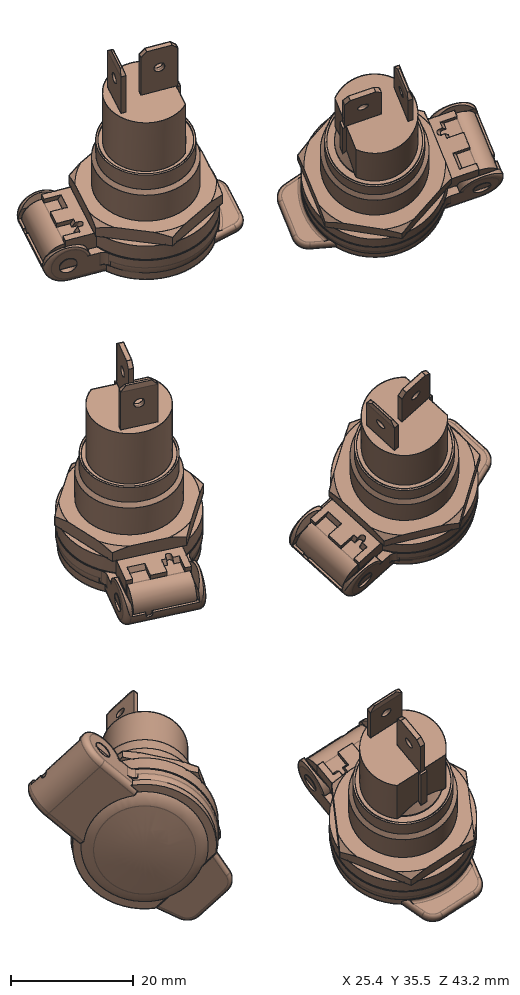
import cadquery as cq
import math


COLLAR_RADIUS = 8.85
COLLAR_TOP = 8.6
RING_RADIUS = 8.15
RING_CONE_TOP = 9.25
RING_TOP = 12.55
RING_BORE_RADIUS = 7.8
RING_BORE_DEPTH = 0.25
BARREL_RADIUS = 7.05
BARREL_TOP = 23.6

FLAT_Y = 5.1
RIB_WIDTH = 1.26
RIB_Y = 5.8
FOOT_RADIUS = 6.55

NUT_CORNER_DIAMETER = 25.4
NUT_HEIGHT = 2.6
NUT_CHAMFER_RADIUS = 11.5
NUT_CHAMFER_ANGLE = math.radians(30)

TERMINAL_WIDTH = 6.4
TERMINAL_THICKNESS = 0.88
TERMINAL_CORNER = 1.0
TERMINAL_HOLE_DIAMETER = 1.86
TERMINAL_EMBED = 1.0
CENTER_TERMINAL_Y = 2.2
CENTER_TERMINAL_TOP = 33.35
CENTER_HOLE_DROP = 4.4
FRONT_TERMINAL_Y = -5.03
FRONT_TERMINAL_TOP = 33.05
FRONT_HOLE_DROP = 4.3
FRONT_BEVEL_DEPTH = 0.25

FLANGE_RADIUS = 12.0
FLANGE_BOTTOM = -3.35
PARTING_GROOVE_HEIGHT = 0.1
PARTING_GROOVE_DEPTH = 0.15
CAP_SHOULDER_Z = -5.05
CAP_SKIRT_RADIUS = 11.72
CAP_SKIRT_TOP = -6.5
CAP_SHOULDER_BULGE = 0.075
DOME_EDGE_BULGE = 0.15
CAP_SKIRT_BOTTOM = -8.05
DOME_OUTER_RADIUS = 10.35
DOME_RADIUS = 8.3
DOME_EDGE_Z = -9.15
DOME_BOTTOM = -9.85
PLATE_BOTTOM = -8.43

TAB_TOP = -6.68
TAB_ROOT_Y = 9.2
TAB_ROOT_HALF_WIDTH = 7.15
TAB_TIP_Y = 15.5
TAB_TIP_HALF_WIDTH = 5.4
TAB_CORNER_RADIUS = 2.8
TAB_EDGE_RADIUS = 0.7
TAB_BLEND_RADIUS = 0.5
TAB_BLEND_HALF_WIDTH = 6.0

HINGE_Y = -16.0
HINGE_RADIUS = 4.0
HINGE_Z = PLATE_BOTTOM + HINGE_RADIUS
ARM_HALF_WIDTH = 7.05
ARM_EDGE_RADIUS = 1.05
ARM_EDGE_OVERSIZE = 0.25
ARM_BLEND_RADIUS = 1.6
ARM_BLEND_BOTTOM = -6.2
ARM_BLEND_START_Y = -9.0
ARM_ROOT_Y = -8.0
EAR_INNER_X = 5.7
EAR_BEVEL_WIDTH = 0.8
EAR_BEVEL_HEIGHT = 1.9
PIN_RADIUS = 1.53
PIN_RECESS = 0.1
PIN_CHAMFER_DROP = 0.5
PIN_CHAMFER_DEPTH = 0.9
BRACKET_HALF_WIDTH = 5.62
KNUCKLE_HALF_WIDTH = 5.4
KNUCKLE_RADIUS = 3.55
NOTCH_X = -2.83
NOTCH_WIDTH = 1.15
NOTCH_DEPTH = 1.0

POCKET_INNER_X = 1.43
POCKET_OUTER_X = 4.45
POCKET_BACK_Y = -13.05
POCKET_RAMP = 0.6
SLOT_X = 2.8
SLOT_WIDTH = 1.06
SLOT_END_Y = -11.9


def box(x_range, y_range, z_range):
    """Box given by its limits along each axis."""
    sizes = [high - low for low, high in (x_range, y_range, z_range)]
    corner = (x_range[0], y_range[0], z_range[0])
    return cq.Workplane("XY").box(*sizes, centered=False).translate(corner)


def cross_cylinder(radius, half_width):
    """Cylinder along X on the hinge axis."""
    return (
        cq.Workplane("YZ", origin=(-half_width, HINGE_Y, HINGE_Z))
        .circle(radius)
        .extrude(2 * half_width)
    )


def turned_body():
    ring_floor = RING_TOP - RING_BORE_DEPTH
    return (
        cq.Workplane("XZ")
        .moveTo(0, FLANGE_BOTTOM)
        .lineTo(COLLAR_RADIUS, FLANGE_BOTTOM)
        .lineTo(COLLAR_RADIUS, COLLAR_TOP)
        .lineTo(RING_RADIUS, RING_CONE_TOP)
        .lineTo(RING_RADIUS, RING_TOP)
        .lineTo(RING_BORE_RADIUS, RING_TOP)
        .lineTo(RING_BORE_RADIUS, ring_floor)
        .lineTo(0, ring_floor)
        .close()
        .revolve(360, (0, 0), (0, 1))
    )


def barrel():
    """Upper barrel with a flat, a key rib on the flat and a conical foot."""
    base = RING_TOP - RING_BORE_DEPTH
    height = BARREL_TOP - base
    body = cq.Workplane("XY").workplane(offset=base).circle(BARREL_RADIUS).extrude(height)
    body = body.cut(box((-BARREL_RADIUS, BARREL_RADIUS), (FLAT_Y, BARREL_RADIUS), (base, BARREL_TOP)))
    rib = box((-RIB_WIDTH / 2, RIB_WIDTH / 2), (0, RIB_Y), (base, BARREL_TOP))
    foot = (
        cq.Workplane("XZ")
        .moveTo(0, base)
        .lineTo(FOOT_RADIUS, base)
        .lineTo(FOOT_RADIUS, RING_TOP)
        .lineTo(0, RING_TOP + FOOT_RADIUS)
        .close()
        .revolve(360, (0, 0), (0, 1))
    )
    return body.union(rib).union(foot)


def nut():
    """Hexagon with its upper corners turned off at 30 degrees."""
    corner_radius = NUT_CORNER_DIAMETER / 2
    chamfer_drop = (corner_radius - NUT_CHAMFER_RADIUS) * math.tan(NUT_CHAMFER_ANGLE)
    hexagon = cq.Workplane("XY").polygon(6, NUT_CORNER_DIAMETER).extrude(NUT_HEIGHT)
    turned = (
        cq.Workplane("XZ")
        .lineTo(corner_radius, 0)
        .lineTo(corner_radius, NUT_HEIGHT - chamfer_drop)
        .lineTo(NUT_CHAMFER_RADIUS, NUT_HEIGHT)
        .lineTo(0, NUT_HEIGHT)
        .close()
        .revolve(360, (0, 0), (0, 1))
    )
    return hexagon.intersect(turned)


def terminal(plane, top, hole_drop):
    """Flat spade centred on the plane's origin, with cropped corners and a hole."""
    half_width = TERMINAL_WIDTH / 2
    shoulder = top - TERMINAL_CORNER
    bottom = BARREL_TOP - TERMINAL_EMBED
    blade = (
        cq.Workplane(plane)
        .moveTo(-half_width, bottom)
        .lineTo(half_width, bottom)
        .lineTo(half_width, shoulder)
        .lineTo(half_width - TERMINAL_CORNER, top)
        .lineTo(TERMINAL_CORNER - half_width, top)
        .lineTo(-half_width, shoulder)
        .close()
        .extrude(TERMINAL_THICKNESS / 2, both=True)
    )
    hole = (
        cq.Workplane(plane)
        .center(0, top - hole_drop)
        .circle(TERMINAL_HOLE_DIAMETER / 2)
        .extrude(TERMINAL_THICKNESS, both=True)
    )
    return blade.cut(hole)


def center_terminal():
    blade = terminal("YZ", CENTER_TERMINAL_TOP, CENTER_HOLE_DROP)
    return blade.translate((0, CENTER_TERMINAL_Y, 0))


def front_terminal():
    """Terminal across the front, bevelled on both faces towards its tip."""
    half_thickness = TERMINAL_THICKNESS / 2
    shoulder = FRONT_TERMINAL_TOP - TERMINAL_CORNER
    bevelled = (
        cq.Workplane("YZ")
        .moveTo(-half_thickness, 0)
        .lineTo(half_thickness, 0)
        .lineTo(half_thickness, shoulder)
        .lineTo(half_thickness - FRONT_BEVEL_DEPTH, FRONT_TERMINAL_TOP)
        .lineTo(FRONT_BEVEL_DEPTH - half_thickness, FRONT_TERMINAL_TOP)
        .lineTo(-half_thickness, shoulder)
        .close()
        .extrude(TERMINAL_WIDTH, both=True)
    )
    blade = terminal("XZ", FRONT_TERMINAL_TOP, FRONT_HOLE_DROP).intersect(bevelled)
    return blade.translate((0, FRONT_TERMINAL_Y, 0))


def flange():
    """Disc under the nut, with a fine parting groove above the cap."""
    groove_radius = FLANGE_RADIUS - PARTING_GROOVE_DEPTH
    groove_top = FLANGE_BOTTOM + PARTING_GROOVE_HEIGHT
    disc = cq.Workplane("XY").workplane(offset=groove_top).circle(FLANGE_RADIUS).extrude(-groove_top)
    neck = cq.Workplane("XY").workplane(offset=FLANGE_BOTTOM).circle(groove_radius).extrude(-FLANGE_BOTTOM)
    return disc.union(neck)


def cap_disc():
    """Turned cap: rounded shoulder, narrower skirt and shallow dome."""
    shoulder_radius = (FLANGE_RADIUS + CAP_SKIRT_RADIUS) / 2 + CAP_SHOULDER_BULGE
    shoulder_z = (CAP_SHOULDER_Z + CAP_SKIRT_TOP) / 2
    edge_radius = (DOME_OUTER_RADIUS + DOME_RADIUS) / 2 + DOME_EDGE_BULGE
    edge_z = (CAP_SKIRT_BOTTOM + DOME_EDGE_Z) / 2 - DOME_EDGE_BULGE
    sagitta = DOME_EDGE_Z - DOME_BOTTOM
    dome_sphere = (DOME_RADIUS**2 + sagitta**2) / (2 * sagitta)
    mid_radius = DOME_RADIUS / 2
    mid_z = DOME_BOTTOM + dome_sphere - math.sqrt(dome_sphere**2 - mid_radius**2)
    return (
        cq.Workplane("XZ")
        .moveTo(0, FLANGE_BOTTOM)
        .lineTo(FLANGE_RADIUS, FLANGE_BOTTOM)
        .lineTo(FLANGE_RADIUS, CAP_SHOULDER_Z)
        .threePointArc((shoulder_radius, shoulder_z), (CAP_SKIRT_RADIUS, CAP_SKIRT_TOP))
        .lineTo(CAP_SKIRT_RADIUS, CAP_SKIRT_BOTTOM)
        .lineTo(DOME_OUTER_RADIUS, CAP_SKIRT_BOTTOM)
        .threePointArc((edge_radius, edge_z), (DOME_RADIUS, DOME_EDGE_Z))
        .threePointArc((mid_radius, mid_z), (0, DOME_BOTTOM))
        .close()
        .revolve(360, (0, 0), (0, 1))
    )


def arm_blend():
    """Rounded inside corners between the cap and the sides of the arm."""
    height = FLANGE_BOTTOM - ARM_BLEND_BOTTOM
    arm_span = (-ARM_HALF_WIDTH, ARM_HALF_WIDTH)
    blend_end_y = HINGE_Y + HINGE_RADIUS
    disc = cq.Workplane("XY").workplane(offset=ARM_BLEND_BOTTOM).circle(FLANGE_RADIUS).extrude(height)
    arm = box(arm_span, (HINGE_Y, 0), (ARM_BLEND_BOTTOM, FLANGE_BOTTOM))
    corner_y = -math.sqrt(FLANGE_RADIUS**2 - ARM_HALF_WIDTH**2)
    reach = 0.1
    corners = cq.selectors.BoxSelector(
        (-ARM_HALF_WIDTH - reach, corner_y - reach, ARM_BLEND_BOTTOM),
        (ARM_HALF_WIDTH + reach, corner_y + reach, FLANGE_BOTTOM),
    )
    blended = disc.union(arm).edges("|Z").edges(corners).fillet(ARM_BLEND_RADIUS)
    kept_half_width = math.sqrt(FLANGE_RADIUS**2 - ARM_BLEND_START_Y**2)
    kept = box(
        (-kept_half_width, kept_half_width),
        (blend_end_y, ARM_BLEND_START_Y),
        (ARM_BLEND_BOTTOM, FLANGE_BOTTOM),
    )
    return blended.intersect(kept)


def finger_tab():
    outline = (
        cq.Workplane("XY")
        .workplane(offset=PLATE_BOTTOM)
        .moveTo(-TAB_ROOT_HALF_WIDTH, TAB_ROOT_Y)
        .lineTo(TAB_ROOT_HALF_WIDTH, TAB_ROOT_Y)
        .lineTo(TAB_TIP_HALF_WIDTH, TAB_TIP_Y)
        .lineTo(-TAB_TIP_HALF_WIDTH, TAB_TIP_Y)
        .close()
        .extrude(TAB_TOP - PLATE_BOTTOM)
    )
    rounded = outline.edges("|Z and >Y").fillet(TAB_CORNER_RADIUS)
    return rounded.edges(">Y and (not |Z)").fillet(TAB_EDGE_RADIUS)


def tab_blend():
    """Concave fillet between the top of the finger tab and the cap."""
    middle = TAB_BLEND_RADIUS * (1 - math.sqrt(0.5))
    ring = (
        cq.Workplane("XZ")
        .moveTo(CAP_SKIRT_RADIUS, TAB_TOP)
        .lineTo(FLANGE_RADIUS + TAB_BLEND_RADIUS, TAB_TOP)
        .threePointArc(
            (FLANGE_RADIUS + middle, TAB_TOP + middle),
            (FLANGE_RADIUS, TAB_TOP + TAB_BLEND_RADIUS),
        )
        .lineTo(CAP_SKIRT_RADIUS, TAB_TOP + TAB_BLEND_RADIUS)
        .close()
        .revolve(360, (0, 0), (0, 1))
    )
    span = (-TAB_BLEND_HALF_WIDTH, TAB_BLEND_HALF_WIDTH)
    return ring.intersect(box(span, (0, TAB_TIP_Y), (TAB_TOP, 0)))


def pin_recess():
    """Shallow recess over the pin in the +X ear, deepened by a chamfer at the pin's lower side."""
    floor_x = ARM_HALF_WIDTH - PIN_RECESS
    recess = (
        cq.Workplane("YZ", origin=(floor_x, HINGE_Y, HINGE_Z))
        .circle(PIN_RADIUS)
        .extrude(PIN_RECESS)
    )
    wedge = (
        cq.Workplane("XZ", origin=(0, HINGE_Y, HINGE_Z))
        .moveTo(floor_x, -PIN_CHAMFER_DROP)
        .lineTo(floor_x, -PIN_RADIUS)
        .lineTo(floor_x - PIN_CHAMFER_DEPTH, -PIN_RADIUS)
        .close()
        .extrude(PIN_RADIUS, both=True)
    )
    return recess.union(wedge.intersect(cross_cylinder(PIN_RADIUS, ARM_HALF_WIDTH)))


def ear_bevel():
    """Wedge that bevels the inner top of the +X ear."""
    top = HINGE_Z + HINGE_RADIUS
    return (
        cq.Workplane("XZ", origin=(0, HINGE_Y, 0))
        .moveTo(EAR_INNER_X, top - EAR_BEVEL_HEIGHT)
        .lineTo(EAR_INNER_X + EAR_BEVEL_WIDTH, top)
        .lineTo(EAR_INNER_X, top)
        .close()
        .extrude(HINGE_RADIUS, both=True)
    )


def arm_block(radius):
    """Arm with a round end of the given radius, tangent to its underside and its front."""
    center_y = HINGE_Y - HINGE_RADIUS + radius
    center_z = PLATE_BOTTOM + radius
    back_y = center_y + math.sqrt(radius**2 - (FLANGE_BOTTOM - center_z) ** 2)
    return (
        cq.Workplane("YZ", origin=(-ARM_HALF_WIDTH, 0, 0))
        .moveTo(ARM_ROOT_Y, PLATE_BOTTOM)
        .lineTo(center_y, PLATE_BOTTOM)
        .threePointArc((center_y - radius, center_z), (back_y, FLANGE_BOTTOM))
        .lineTo(ARM_ROOT_Y, FLANGE_BOTTOM)
        .close()
        .extrude(2 * ARM_HALF_WIDTH)
    )


def hinge_arm():
    """Arm of the cap ending in two round ears joined by a half shell below the axis.

    The rounding of the outer edges comes from a slightly larger block, so that it
    fades from full size along the underside to a narrow edge at the top of the ears.
    """
    rounded = arm_block(HINGE_RADIUS + ARM_EDGE_OVERSIZE)
    rounded = rounded.faces("<X or >X").edges("<Z or %CIRCLE").fillet(ARM_EDGE_RADIUS)
    arm = arm_block(HINGE_RADIUS).intersect(rounded)
    arm = arm.cut(
        box(
            (-EAR_INNER_X, EAR_INNER_X),
            (HINGE_Y - HINGE_RADIUS, HINGE_Y + HINGE_RADIUS),
            (HINGE_Z, 0),
        )
    )
    arm = arm.cut(shell_notch())
    for cutter in (pin_recess(), ear_bevel()):
        arm = arm.cut(cutter).cut(cutter.mirror("YZ"))
    return arm


def shell_notch():
    """Round-ended notch in the front edge of the half shell."""
    return (
        cq.Workplane("XZ", origin=(NOTCH_X, HINGE_Y, HINGE_Z))
        .slot2D(2 * NOTCH_DEPTH, NOTCH_WIDTH, 90)
        .extrude(HINGE_RADIUS)
    )


def bracket_pocket(center_x):
    """Open-fronted pocket with a sloping back wall, down to the top of the knuckle."""
    floor_z = HINGE_Z + KNUCKLE_RADIUS
    width = POCKET_OUTER_X - POCKET_INNER_X
    return (
        cq.Workplane("YZ", origin=(center_x - width / 2, 0, 0))
        .moveTo(HINGE_Y, 0)
        .lineTo(POCKET_BACK_Y, 0)
        .lineTo(POCKET_BACK_Y - POCKET_RAMP, floor_z)
        .lineTo(HINGE_Y, floor_z)
        .close()
        .extrude(width)
    )


def bracket_slot():
    """Round-ended slot behind the +X pocket, its end sloping like the pocket's back wall."""
    half_width = SLOT_WIDTH / 2
    floor_z = HINGE_Z + KNUCKLE_RADIUS
    front_y = POCKET_BACK_Y - POCKET_RAMP
    upper_y = SLOT_END_Y - half_width
    lower_y = upper_y - POCKET_RAMP
    slot = cq.Workplane("XY", origin=(SLOT_X, 0, 0))
    for center_y, offset in ((upper_y, 0), (lower_y, floor_z)):
        slot = (
            slot.workplane(offset=offset)
            .moveTo(-half_width, front_y)
            .lineTo(-half_width, center_y)
            .threePointArc((0, center_y + half_width), (half_width, center_y))
            .lineTo(half_width, front_y)
            .close()
        )
    return slot.loft(ruled=True)


def bracket():
    """Hinge bracket of the flange, ending in the knuckle between the ears."""
    block = box((-BRACKET_HALF_WIDTH, BRACKET_HALF_WIDTH), (HINGE_Y, 0), (HINGE_Z, 0))
    pocket_x = (POCKET_INNER_X + POCKET_OUTER_X) / 2
    for center_x in (-pocket_x, pocket_x):
        block = block.cut(bracket_pocket(center_x))
    block = block.cut(bracket_slot())
    return block.union(cross_cylinder(KNUCKLE_RADIUS, KNUCKLE_HALF_WIDTH))


cap = cap_disc().union(arm_blend()).union(finger_tab()).union(tab_blend()).union(hinge_arm())
socket = turned_body().union(barrel()).union(nut()).union(flange())
terminals = center_terminal().union(front_terminal())
result = socket.union(terminals).union(cap).union(bracket())